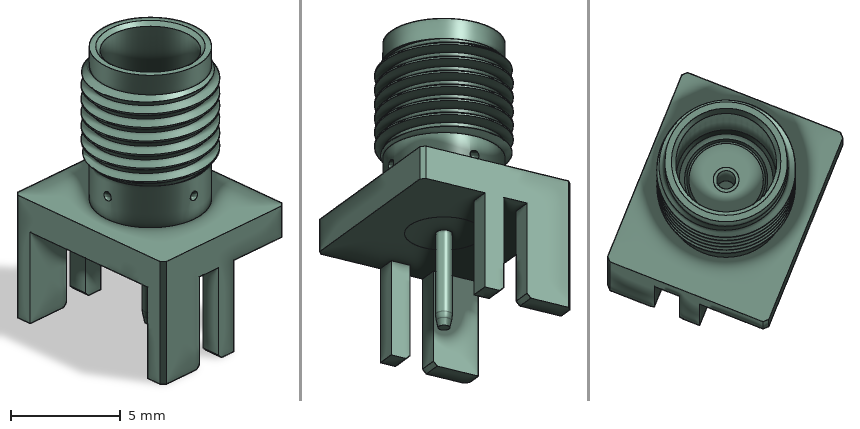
import cadquery as cq
import math


BASE_X = 9.52
BASE_Y = 7.92
BASE_CENTER_Y = -0.04
BASE_BOTTOM = 4.74
BASE_TOP = 6.36
CORNER_CHAMFER = 0.2
LEG_THICKNESS = 1
NARROW_LEG_BACK = 0.6
BOARD_SLOT_BACK = -0.4
BOARD_SLOT_FRONT = -1.63
SLOT_MOUTH_CHAMFER = 0.2

TOTAL_HEIGHT = 14.27
BARREL_RADIUS = 2.8

THREAD_BOTTOM = 8.52
THREAD_TOP = 13.25
FIVE_TURNS = 3.52
THREAD_PITCH = FIVE_TURNS / 5
CREST_RADIUS = 3.17
ROOT_RADIUS = 2.78
CREST_WIDTH = 0.09
FLANK_ANGLE = 30
RIDGE_OVERLAP = 0.07
FIRST_CREST_Z = 7.59
RIDGE_TURNS = 9

STAKE_COUNT = 4
STAKE_Z = 7.56
STAKE_RADIUS = 0.23

MOUTH_RADIUS = 2.5
BORE_RADIUS = 2.3
LEDGE_RADIUS = 2.14
LEDGE_Z = 10.27
SEAT_RADIUS = 1.8
SEAT_CHAMFER = 0.1

INSULATOR_CHAMFER = 0.1

SOCKET_RADIUS = 0.59
SOCKET_HOLE_RADIUS = 0.43
SOCKET_HOLE_DEPTH = 2.28
TAIL_RADIUS = 0.39
TIP_START = 0.65
TIP_CONE_START = 0.35
TIP_CONE_RADIUS = 0.34
TIP_END_RADIUS = 0.27


def revolved(points):
    """Solid of revolution about Z from (radius, z) points."""
    return cq.Workplane("XZ").polyline(points).close().revolve(360, (0, 0, 0), (0, 1, 0))


def base_block():
    """Plate with two pairs of legs, its four upright corners chamfered."""
    block = (
        cq.Workplane("XY", origin=(0, BASE_CENTER_Y, 0))
        .box(BASE_X, BASE_Y, BASE_TOP, centered=(True, True, False))
        .edges("|Z")
        .chamfer(CORNER_CHAMFER)
    )
    gap_between_legs = cq.Workplane("XY", origin=(0, BASE_CENTER_Y, 0)).box(
        BASE_X - 2 * LEG_THICKNESS, BASE_Y, BASE_BOTTOM, centered=(True, True, False)
    )
    space_behind_legs = (
        cq.Workplane("YZ")
        .moveTo(NARROW_LEG_BACK, 0)
        .lineTo(BASE_Y, 0)
        .lineTo(BASE_Y, BASE_BOTTOM)
        .lineTo(NARROW_LEG_BACK, BASE_BOTTOM)
        .close()
        .extrude(BASE_X / 2, both=True)
    )
    board_slot = (
        cq.Workplane("YZ")
        .moveTo(BOARD_SLOT_FRONT - SLOT_MOUTH_CHAMFER, 0)
        .lineTo(BOARD_SLOT_BACK + SLOT_MOUTH_CHAMFER, 0)
        .lineTo(BOARD_SLOT_BACK, SLOT_MOUTH_CHAMFER)
        .lineTo(BOARD_SLOT_BACK, BASE_BOTTOM)
        .lineTo(BOARD_SLOT_FRONT, BASE_BOTTOM)
        .lineTo(BOARD_SLOT_FRONT, SLOT_MOUTH_CHAMFER)
        .close()
        .extrude(BASE_X / 2, both=True)
    )
    return block.cut(gap_between_legs).cut(space_behind_legs).cut(board_slot)


def barrel():
    """Solid barrel, relieved to the root radius along the threaded length."""
    return revolved([
        (0, BASE_BOTTOM),
        (BARREL_RADIUS, BASE_BOTTOM),
        (BARREL_RADIUS, THREAD_BOTTOM),
        (ROOT_RADIUS, THREAD_BOTTOM),
        (ROOT_RADIUS, THREAD_TOP),
        (BARREL_RADIUS, THREAD_TOP),
        (BARREL_RADIUS, TOTAL_HEIGHT),
        (0, TOTAL_HEIGHT),
    ])


def thread():
    """Right-handed helical ridge, trimmed by 45 degree cones at both ends."""
    inner_radius = ROOT_RADIUS - RIDGE_OVERLAP
    crest_half = CREST_WIDTH / 2
    inner_half = crest_half + (CREST_RADIUS - inner_radius) * math.tan(math.radians(FLANK_ANGLE))
    helix = cq.Wire.makeHelix(
        THREAD_PITCH, RIDGE_TURNS * THREAD_PITCH, ROOT_RADIUS, center=cq.Vector(0, 0, FIRST_CREST_Z)
    )
    ridge = (
        cq.Workplane("XZ")
        .moveTo(inner_radius, FIRST_CREST_Z - inner_half)
        .lineTo(CREST_RADIUS, FIRST_CREST_Z - crest_half)
        .lineTo(CREST_RADIUS, FIRST_CREST_Z + crest_half)
        .lineTo(inner_radius, FIRST_CREST_Z + inner_half)
        .close()
        .sweep(cq.Workplane(helix), isFrenet=True)
    )
    run_out = CREST_RADIUS - BARREL_RADIUS
    outer_radius = CREST_RADIUS + RIDGE_OVERLAP
    envelope = revolved([
        (0, THREAD_BOTTOM),
        (BARREL_RADIUS, THREAD_BOTTOM),
        (outer_radius, THREAD_BOTTOM + run_out + RIDGE_OVERLAP),
        (outer_radius, THREAD_TOP - run_out - RIDGE_OVERLAP),
        (BARREL_RADIUS, THREAD_TOP),
        (0, THREAD_TOP),
    ])
    return ridge.intersect(envelope)


def bore():
    """Chamfered mouth, wide bore ending in a ledge, and the seat of the insulator."""
    return revolved([
        (0, BASE_BOTTOM),
        (SEAT_RADIUS, BASE_BOTTOM),
        (SEAT_RADIUS, LEDGE_Z - SEAT_CHAMFER),
        (SEAT_RADIUS + SEAT_CHAMFER, LEDGE_Z),
        (LEDGE_RADIUS, LEDGE_Z),
        (BORE_RADIUS, LEDGE_Z + BORE_RADIUS - LEDGE_RADIUS),
        (BORE_RADIUS, TOTAL_HEIGHT - (MOUTH_RADIUS - BORE_RADIUS)),
        (MOUTH_RADIUS, TOTAL_HEIGHT),
        (0, TOTAL_HEIGHT),
    ])


def stake_marks():
    """Balls centred on the barrel surface, evenly spaced around it."""
    return (
        cq.Workplane("XY", origin=(0, 0, STAKE_Z))
        .polarArray(BARREL_RADIUS, 0, 360, STAKE_COUNT)
        .sphere(STAKE_RADIUS)
    )


def make_housing():
    return base_block().union(barrel()).union(thread()).cut(bore()).cut(stake_marks())


def contact_blank():
    """Contact without its socket hole: wide socket, thin tail, tip rounded into a slight cone."""
    return (
        cq.Workplane("XZ")
        .moveTo(0, LEDGE_Z)
        .lineTo(SOCKET_RADIUS, LEDGE_Z)
        .lineTo(SOCKET_RADIUS, BASE_TOP)
        .lineTo(TAIL_RADIUS, BASE_TOP)
        .lineTo(TAIL_RADIUS, TIP_START)
        .tangentArcPoint((TIP_CONE_RADIUS, TIP_CONE_START), relative=False)
        .lineTo(TIP_END_RADIUS, 0)
        .lineTo(0, 0)
        .close()
        .revolve(360, (0, 0, 0), (0, 1, 0))
    )


def make_contact():
    socket_hole = (
        cq.Workplane("XY", origin=(0, 0, LEDGE_Z)).circle(SOCKET_HOLE_RADIUS).extrude(-SOCKET_HOLE_DEPTH)
    )
    return contact_blank().cut(socket_hole)


def make_insulator():
    """Sleeve filling the seat, level with the ledge and chamfered at the top."""
    sleeve = revolved([
        (0, BASE_BOTTOM),
        (SEAT_RADIUS, BASE_BOTTOM),
        (SEAT_RADIUS, LEDGE_Z - INSULATOR_CHAMFER),
        (SEAT_RADIUS - INSULATOR_CHAMFER, LEDGE_Z),
        (0, LEDGE_Z),
    ])
    return sleeve.cut(contact_blank())


housing = make_housing().solids()
insulator = make_insulator().solids()
contact = make_contact().solids()

result = cq.Compound.makeCompound([housing.val(), insulator.val(), contact.val()])